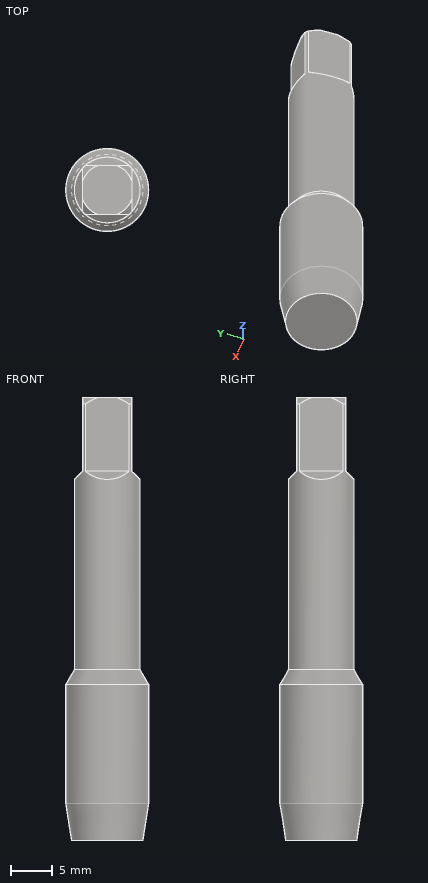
import cadquery as cq
import math

total_length = 54.0
shank_diameter = 8.0
cutting_diameter = 10.12
tip_diameter = 8.7
lead_length = 4.5
cutting_length = 19.0
shoulder_angle = 30.0
square_width = 6.0
square_length = 9.0
end_chamfer = 0.8

shank_radius = shank_diameter / 2
cutting_radius = cutting_diameter / 2
tip_radius = tip_diameter / 2
shoulder_height = (cutting_radius - shank_radius) / math.tan(math.radians(shoulder_angle))
shoulder_top = cutting_length + shoulder_height
square_bottom = total_length - square_length
flat_depth = shank_radius - square_width / 2


def revolved(profile):
    """Revolve a closed (radius, height) outline about the Z axis."""
    return cq.Workplane("XZ").polyline(profile).close().revolve(360, (0, 0), (0, 1))


def make_flat_cutter():
    """Prism that mills one drive flat on +X, running out at 45 degrees below it."""
    half_width = square_width / 2
    profile = [
        (half_width, square_bottom),
        (half_width, total_length),
        (shank_radius, total_length),
        (shank_radius, square_bottom - flat_depth),
    ]
    return cq.Workplane("XZ").polyline(profile).close().extrude(shank_radius, both=True)


def make_shank():
    """Shoulder cone, round shank and chamfered drive square."""
    shank = revolved([
        (0, cutting_length),
        (cutting_radius, cutting_length),
        (shank_radius, shoulder_top),
        (shank_radius, total_length - end_chamfer),
        (shank_radius - end_chamfer, total_length),
        (0, total_length),
    ])
    flat_cutter = make_flat_cutter()
    for angle in (0, 90, 180, 270):
        shank = shank.cut(flat_cutter.rotate((0, 0, 0), (0, 0, 1), angle))
    return shank


def make_cutting_portion():
    """Full-diameter cutting cylinder with its tapered lead."""
    return revolved([
        (0, 0),
        (tip_radius, 0),
        (cutting_radius, lead_length),
        (cutting_radius, cutting_length),
        (0, cutting_length),
    ])


shank = make_shank()
cutting_portion = make_cutting_portion()

result = cq.Compound.makeCompound([shank.val(), cutting_portion.val()])